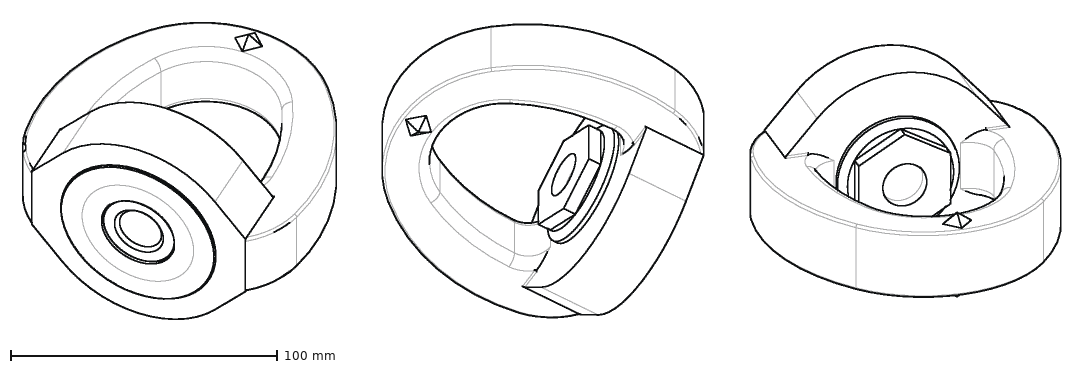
import cadquery as cq
import math

plate_thickness = 25.1
plate_height = 84.0
plate_radius = plate_height / 2
plate_half_width = 44.1
bow_thickness = 27.0

corner_fillet = 0.7
corner_fillet_inner_x = 35.0

bow_top = 106.0
bow_top_radius = 49.1
bow_half_width = 57.3
bow_widest_y = 35.0
bow_lower_joint_y = 20.1
bow_edge_radius = 1.0

eye_top = 88.7
eye_top_radius = 28.4
eye_half_width = 34.9
eye_widest_y = bow_widest_y
eye_floor = plate_thickness
eye_edge_radius = 4.0
selection_margin = 1.1

mark_y = 98.5
mark_half_diagonal = 5.6
mark_height = 4.0

disc_diameter = 64.0
disc_proud = 0.8
disc_thickness = 5.7
disc_chamfer = 0.5
shank_hole = 30.2
dish_diameter = 46.1
dish_depth = 0.3

shank_diameter = 30.0
shank_recess = 1.1
shank_chamfer = 0.5
thread_bore = 17.3
bore_mouth = 20.2
collar_diameter = 48.0
collar_straight = 1.8
collar_height = 4.4
hex_flats = 36.2
hex_end = 34.6


def point_on_circle(center_x, center_y, radius, angle):
    return (center_x + radius * math.cos(angle), center_y + radius * math.sin(angle))


def crown_arcs(top, top_radius, half_width, widest_y):
    """Top arc centred on x = 0 and a larger side arc tangent to it and to the line x = half_width.

    Returns the top point, top-arc middle, joint, side-arc middle, widest point,
    the side-arc centre x and the side radius.
    """
    top_center_y = top - top_radius
    rise = top_center_y - widest_y
    side_radius = (half_width**2 + rise**2 - top_radius**2) / (2 * (half_width - top_radius))
    side_center_x = half_width - side_radius
    joint_angle = math.atan2(rise, -side_center_x)
    top_middle_angle = (joint_angle + math.pi / 2) / 2
    points = [
        (0, top),
        point_on_circle(0, top_center_y, top_radius, top_middle_angle),
        point_on_circle(0, top_center_y, top_radius, joint_angle),
        point_on_circle(side_center_x, widest_y, side_radius, joint_angle / 2),
        (half_width, widest_y),
    ]
    return points, side_center_x, side_radius


def symmetric_slab(half_outline):
    """Extrude a right-hand outline over the bow thickness and add its mirror image."""
    half = half_outline.extrude(bow_thickness / 2, both=True)
    return half.union(half.mirror("YZ")).clean()


def make_bow():
    points, side_center_x, side_radius = crown_arcs(bow_top, bow_top_radius, bow_half_width, bow_widest_y)
    top, top_middle, joint, _, _ = points
    drop = math.asin((bow_widest_y - bow_lower_joint_y) / side_radius)
    joint_angle = math.asin((joint[1] - bow_widest_y) / side_radius)
    side_middle = point_on_circle(side_center_x, bow_widest_y, side_radius, (joint_angle - drop) / 2)
    lower_joint = point_on_circle(side_center_x, bow_widest_y, side_radius, -drop)
    outline = (
        cq.Workplane("XY")
        .moveTo(*top)
        .threePointArc(top_middle, joint)
        .threePointArc(side_middle, lower_joint)
        .tangentArcPoint((plate_half_width, 0), relative=False)
        .lineTo(0, 0)
        .close()
    )
    outer = symmetric_slab(outline)
    return outer.faces("|Z").edges("not <Y").fillet(bow_edge_radius)


def make_eye():
    points, _, _ = crown_arcs(eye_top, eye_top_radius, eye_half_width, eye_widest_y)
    top, top_middle, joint, side_middle, widest = points
    corner_radius = eye_widest_y - eye_floor
    outline = (
        cq.Workplane("XY")
        .moveTo(*top)
        .threePointArc(top_middle, joint)
        .threePointArc(side_middle, widest)
        .tangentArcPoint((eye_half_width - corner_radius, eye_floor), relative=False)
        .lineTo(0, eye_floor)
        .close()
    )
    return symmetric_slab(outline)


def make_plate(thickness):
    """Round plate with tangent flanks running out to the bow faces."""
    corner_z = bow_thickness / 2
    corner_angle = math.atan2(corner_z, plate_half_width)
    tangent_angle = corner_angle + math.acos(plate_radius / math.hypot(plate_half_width, corner_z))
    tx, tz = point_on_circle(0, 0, plate_radius, tangent_angle)
    return (
        cq.Workplane("XZ")
        .moveTo(plate_half_width, corner_z)
        .lineTo(tx, tz)
        .threePointArc((0, plate_radius), (-tx, tz))
        .lineTo(-plate_half_width, corner_z)
        .lineTo(-plate_half_width, -corner_z)
        .lineTo(-tx, -tz)
        .threePointArc((0, -plate_radius), (tx, -tz))
        .lineTo(plate_half_width, -corner_z)
        .close()
        .extrude(-thickness)
    )


def make_corner_fillets():
    """Concave strips behind the plate, trimmed by the slope of its flanks."""
    face_z = bow_thickness / 2
    fillet_y = plate_thickness + corner_fillet
    fillet_z = face_z + corner_fillet
    middle = point_on_circle(fillet_y, fillet_z, corner_fillet, math.radians(225))
    strip = (
        cq.Workplane("YZ", origin=(corner_fillet_inner_x, 0, 0))
        .moveTo(plate_thickness, face_z)
        .lineTo(fillet_y, face_z)
        .threePointArc(middle, (plate_thickness, fillet_z))
        .close()
        .extrude(plate_half_width - corner_fillet_inner_x)
    )
    strip = strip.intersect(make_plate(fillet_y))
    strip_pair = strip.union(strip.mirror("YZ"))
    return strip_pair.union(strip_pair.mirror("XY"))


def make_mark(side):
    """Square pyramid with its base corners on the X and Y directions, on one bow face."""
    face_z = side * bow_thickness / 2
    corners = [
        cq.Vector(*point_on_circle(0, mark_y, mark_half_diagonal, quarter * math.pi / 2), face_z)
        for quarter in range(4)
    ]
    apex = cq.Vector(0, mark_y, face_z + side * mark_height)
    faces = [cq.Face.makeFromWires(cq.Wire.makePolygon(corners, close=True))]
    for start, end in zip(corners, corners[1:] + corners[:1]):
        faces.append(cq.Face.makeFromWires(cq.Wire.makePolygon([start, end, apex], close=True)))
    return cq.Workplane(cq.Solid.makeSolid(cq.Shell.makeShell(faces)))


def revolve_about_y(profile):
    return cq.Workplane("XY").polyline(profile).close().revolve(360, (0, 0, 0), (0, 1, 0))


def make_holed_bow():
    """Bow with the eye cut through it and the eye rounded on both faces."""
    bow = make_bow().cut(make_eye())
    eye_box = cq.selectors.BoxSelector(
        (-eye_half_width - selection_margin, eye_floor - selection_margin, -bow_thickness),
        (eye_half_width + selection_margin, eye_top + selection_margin, bow_thickness),
        boundingbox=True,
    )
    return bow.faces("|Z").edges(eye_box).fillet(eye_edge_radius)


def make_housing():
    housing = make_holed_bow().union(make_plate(plate_thickness)).union(make_corner_fillets())
    for side in (1, -1):
        housing = housing.union(make_mark(side))
    seat_depth = disc_thickness - disc_proud
    seat = cq.Workplane("XZ").circle(disc_diameter / 2).extrude(-seat_depth)
    bore = cq.Workplane("XZ").circle(shank_hole / 2).extrude(-plate_thickness)
    return housing.cut(seat).cut(bore)


def make_disc():
    front = -disc_proud
    back = front + disc_thickness
    rim = disc_diameter / 2
    return revolve_about_y([
        (shank_hole / 2, back),
        (rim, back),
        (rim, front + disc_chamfer),
        (rim - disc_chamfer, front),
        (dish_diameter / 2, front),
        (shank_hole / 2, front + dish_depth),
    ])


def make_sleeve():
    front = -disc_proud + shank_recess
    mouth_depth = (bore_mouth - thread_bore) / 2
    collar_back = plate_thickness + collar_height
    hex_corner = hex_flats / math.sqrt(3)
    body = revolve_about_y([
        (thread_bore / 2, front + mouth_depth),
        (bore_mouth / 2, front),
        (shank_diameter / 2 - shank_chamfer, front),
        (shank_diameter / 2, front + shank_chamfer),
        (shank_diameter / 2, plate_thickness),
        (collar_diameter / 2, plate_thickness),
        (collar_diameter / 2, plate_thickness + collar_straight),
        (hex_corner, collar_back),
        (thread_bore / 2, collar_back),
    ])
    head = (
        cq.Workplane("XZ", origin=(0, collar_back, 0))
        .transformed(rotate=(0, 0, 90))
        .polygon(6, 2 * hex_corner)
        .circle(thread_bore / 2)
        .extrude(-(hex_end - collar_back))
    )
    return body.union(head)


housing = make_housing()
disc = make_disc()
sleeve = make_sleeve()
result = cq.Compound.makeCompound([housing.val(), disc.val(), sleeve.val()])